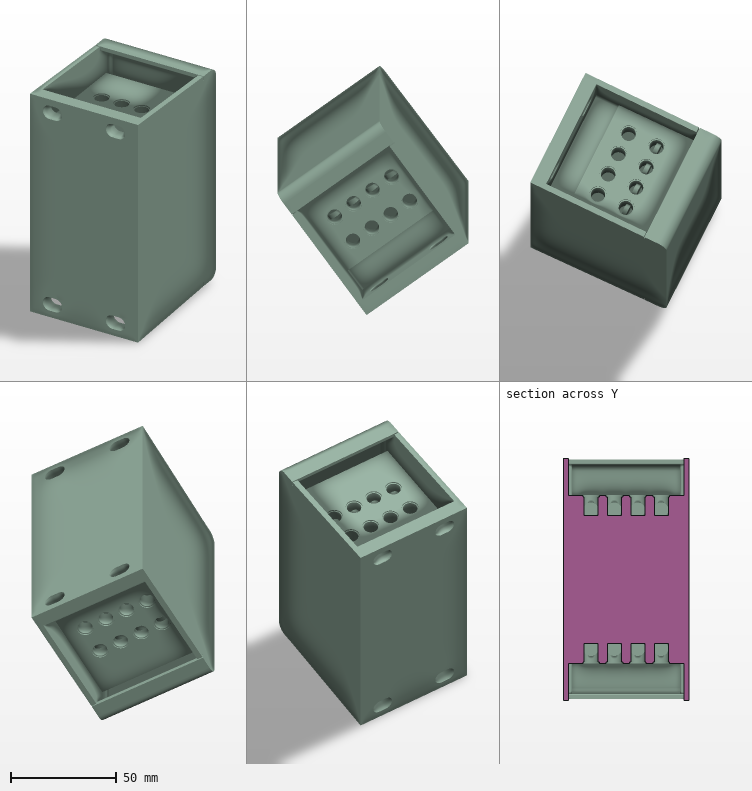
import cadquery as cq

width = 60.0
depth = 72.0
length = 118.0
cover_length = 113.8
cover_radius = 5.0
cavity_radius = 3.0
cover_thickness = 2.4
side_thickness = 2.7
mounting_wall_thickness = 7.1

flange_width = 11.6
flange_fillet = 0.5
slit_width = 0.5

front_y = -depth / 2
back_y = depth / 2
cavity_width = width - 2 * side_thickness
cavity_front_y = front_y + mounting_wall_thickness
cavity_back_y = back_y - cover_thickness
cavity_length = cover_length - 2 * cover_thickness
flange_front_y = back_y - flange_width

block_length = 80.0
block_back_y = 29.9
shelf_width = 11.9
shelf_drop = 1.2
shelf_fillet = 1.0

lip_thickness = 1.5
lip_width = 2.4
lip_fillet = 0.8

hole_count = 4
hole_pitch = 11.1
hole_radius = 3.4
mouth_radius = 4.0
mouth_depth = 0.6
hole_depth = 9.4
plain_row_y = -6.7
pin_row_y = 8.0

pin_radius = 3.5
pin_width = 2.2
pin_top_depth = 3.5

slot_length = 10.6
slot_height = 7.2
slot_spacing_x = 34.9
slot_spacing_z = 103.8


def box(x_range, y_range, z_range):
    """Axis-aligned box between the given limits."""
    size = [high - low for low, high in (x_range, y_range, z_range)]
    corner = (x_range[0], y_range[0], z_range[0])
    return cq.Workplane("XY").box(*size, centered=False).translate(corner)


def both_ends(shape):
    """The shape together with its mirror image about the middle of the length."""
    return shape.union(shape.mirror("XY"))


def outer_body():
    """Solid whose ends slope in from the mounting wall to flat flanges and a rounded cover."""
    outline = [
        (front_y, -length / 2),
        (flange_front_y, -cover_length / 2),
        (back_y, -cover_length / 2),
        (back_y, cover_length / 2),
        (flange_front_y, cover_length / 2),
        (front_y, length / 2),
    ]
    body = cq.Workplane("YZ").polyline(outline).close().extrude(width / 2, both=True)
    return body.edges("|X and >Y").fillet(cover_radius)


def cavity():
    """Inside space, open at both ends in front of the cover flanges."""
    half_width = cavity_width / 2
    x_range = (-half_width, half_width)
    inside = box(x_range, (cavity_front_y, cavity_back_y), (-cavity_length / 2, cavity_length / 2))
    inside = inside.edges("|X and >Y").fillet(cavity_radius)
    return inside.union(box(x_range, (cavity_front_y, flange_front_y), (-length / 2, length / 2)))


def shell():
    """Hollow body with the inner front edge of each cover flange rounded."""
    hollow = outer_body().cut(cavity())
    for end in (-1, 1):
        edge_point = (0, flange_front_y, end * cavity_length / 2)
        hollow = hollow.edges(cq.NearestToPointSelector(edge_point)).fillet(flange_fillet)
    return hollow


def slits():
    """Narrow cuts in the side walls between the body rim and the cover flanges."""
    slit = box(
        (-width / 2, width / 2),
        (flange_front_y - slit_width, flange_front_y),
        (cavity_length / 2, length / 2),
    )
    return both_ends(slit)


def slots():
    """Four rounded mounting slots."""
    return (
        cq.Workplane("XZ", origin=(0, front_y, 0))
        .rarray(slot_spacing_x, slot_spacing_z, 2, 2)
        .slot2D(slot_length, slot_height)
        .extrude(-mounting_wall_thickness)
    )


def lips():
    """Upright strips on both side walls against the cover."""
    lip = box(
        (cavity_width / 2 - lip_thickness, cavity_width / 2),
        (cavity_back_y - lip_width, cavity_back_y),
        (-cavity_length / 2, cavity_length / 2),
    )
    lip = lip.edges("|Z and <X and <Y").fillet(lip_fillet)
    return lip.union(lip.mirror("YZ"))


def blind_hole(x, y):
    """Hole with a shallow wider mouth, cut down from the +Z end of the block."""
    mouth_z = block_length / 2
    hole = cq.Workplane("XY", origin=(x, y, mouth_z)).circle(hole_radius).extrude(-hole_depth)
    mouth = cq.Workplane("XY", origin=(x, y, mouth_z)).circle(mouth_radius).extrude(-mouth_depth)
    return hole.union(mouth)


def pin(x):
    """Cylinder along Y that crosses the lower part of a rear-row hole."""
    centre_z = block_length / 2 - pin_top_depth - pin_radius
    start_y = pin_row_y - pin_width / 2
    return cq.Workplane("XZ", origin=(x, start_y, centre_z)).circle(pin_radius).extrude(-pin_width)


def end_cuts():
    """Shelf and holes taken out of both ends of the block."""
    shelf = box(
        (-cavity_width / 2, cavity_width / 2),
        (cavity_front_y, cavity_front_y + shelf_width),
        (block_length / 2 - shelf_drop, block_length / 2),
    )
    cuts = shelf.edges("|Y and <Z").fillet(shelf_fillet)
    for index in range(hole_count):
        x = (index - (hole_count - 1) / 2) * hole_pitch
        cuts = cuts.union(blind_hole(x, plain_row_y))
        cuts = cuts.union(blind_hole(x, pin_row_y).cut(pin(x)))
    return both_ends(cuts)


def block():
    """Solid centre between the side walls."""
    solid = box(
        (-cavity_width / 2, cavity_width / 2),
        (cavity_front_y, block_back_y),
        (-block_length / 2, block_length / 2),
    )
    return solid.cut(end_cuts())


result = shell().cut(slits()).cut(slots()).union(lips()).union(block())